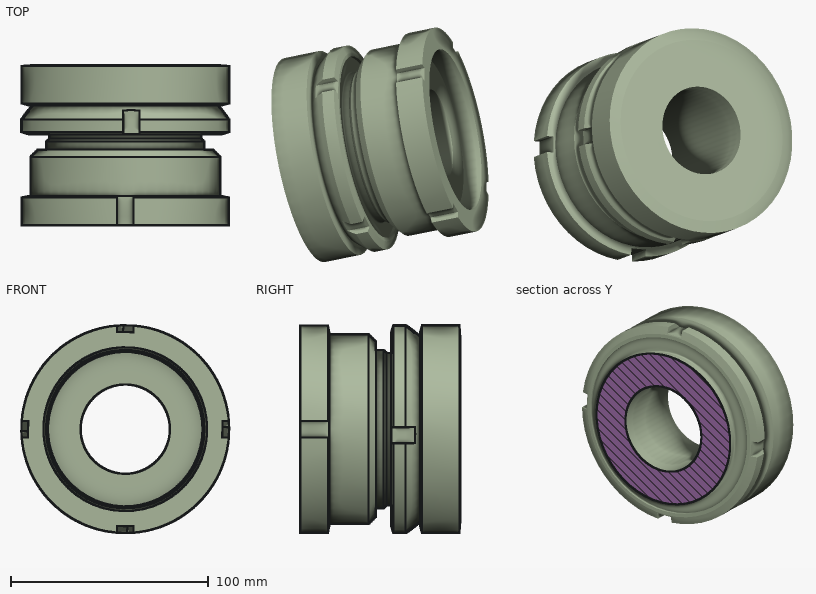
import cadquery as cq
import math


rim_radius = 52.55
bore_radius = 22.5
thread_radius = 40.0
overall_depth = 80.93

slot_count = 4
slot_width = 8.2
slot_floor_radius = 49.0
nut_slot_turn = 3.5
cut_clearance = 1.0

flange_depth = 14.9
flange_bevel = 0.9
barrel_radius = 48.0
barrel_end = 38.2
barrel_chamfer = 3.7
recess_radius = 41.4
recess_depth = flange_depth

sleeve_chamfer = 1.0
sleeve_front = 8.9
thread_end = 43.7
thread_end_chamfer = 1.5
neck_radius = thread_radius - thread_end_chamfer
collar_front = 45.9
collar_bevel_depth = 1.2
collar_bevel_width = 4.0
collar_recess_radius = 46.7
collar_recess_depth = 1.6
neck_fillet = 0.7
collar_rim_end = 53.3
ball_radius = 63.0
ball_center = collar_rim_end - math.sqrt(ball_radius**2 - rim_radius**2)

seat_front = 60.6
seat_bevel_depth = 1.0
seat_bevel_width = 3.7
seat_back_bevel_depth = 0.5
seat_back_bevel_width = 6.0


def ball_depth(radius):
    """Depth of the spherical surface at a given distance from the axis."""
    return ball_center + math.sqrt(ball_radius**2 - radius**2)


def ball_point(radius):
    """Profile point on the spherical surface at a given distance from the axis."""
    return (radius, ball_depth(radius))


def turn(profile):
    """Revolve a closed (radius, depth) profile about the Y axis."""
    return profile.close().revolve(360, (0, 0, 0), (0, 1, 0))


def cut_slots(body, start, end, turn_angle):
    """Cut evenly spaced spanner slots into a rim, between two depths."""
    slot_height = rim_radius - slot_floor_radius + cut_clearance
    cutter = (
        cq.Workplane("XY")
        .box(slot_width, end - start, slot_height, centered=(True, False, False))
        .translate((0, start, slot_floor_radius))
    )
    for index in range(slot_count):
        angle = turn_angle + index * 360 / slot_count
        body = body.cut(cutter.rotate((0, 0, 0), (0, 1, 0), angle))
    return body


def make_base_ring():
    profile = cq.Workplane("XY").polyline([
        (recess_radius, 0),
        (rim_radius, 0),
        (rim_radius, flange_depth - flange_bevel),
        (barrel_radius, flange_depth),
        (barrel_radius, barrel_end - barrel_chamfer),
        (barrel_radius - barrel_chamfer, barrel_end),
        (thread_radius, barrel_end),
        (thread_radius, recess_depth),
        (recess_radius, recess_depth),
    ])
    return cut_slots(turn(profile), 0, flange_depth, 0)


def make_spherical_nut():
    collar_recess_floor = collar_front + collar_recess_depth
    profile = (
        cq.Workplane("XY")
        .moveTo(bore_radius, sleeve_front)
        .lineTo(thread_radius - sleeve_chamfer, sleeve_front)
        .lineTo(thread_radius, sleeve_front + sleeve_chamfer)
        .lineTo(thread_radius, thread_end - thread_end_chamfer)
        .lineTo(neck_radius, thread_end)
        .lineTo(neck_radius, collar_recess_floor - neck_fillet)
        .tangentArcPoint((neck_radius + neck_fillet, collar_recess_floor), relative=False)
        .lineTo(collar_recess_radius, collar_recess_floor)
        .lineTo(collar_recess_radius, collar_front)
        .lineTo(rim_radius - collar_bevel_width, collar_front)
        .lineTo(rim_radius, collar_front + collar_bevel_depth)
        .lineTo(rim_radius, collar_rim_end)
        .threePointArc(ball_point((rim_radius + bore_radius) / 2), ball_point(bore_radius))
    )
    slot_end = ball_depth(slot_floor_radius) + cut_clearance
    return cut_slots(turn(profile), collar_front, slot_end, nut_slot_turn)


def make_seat_ring():
    seat_radius = math.sqrt(ball_radius**2 - (seat_front - ball_center)**2)
    profile = (
        cq.Workplane("XY")
        .moveTo(*ball_point(bore_radius))
        .threePointArc(ball_point((seat_radius + bore_radius) / 2), (seat_radius, seat_front))
        .lineTo(rim_radius - seat_bevel_width, seat_front)
        .lineTo(rim_radius, seat_front + seat_bevel_depth)
        .lineTo(rim_radius, overall_depth - seat_back_bevel_depth)
        .lineTo(rim_radius - seat_back_bevel_width, overall_depth)
        .lineTo(bore_radius, overall_depth)
    )
    return turn(profile)


base_ring = make_base_ring()
spherical_nut = make_spherical_nut()
seat_ring = make_seat_ring()

result = cq.Compound.makeCompound([base_ring.val(), spherical_nut.val(), seat_ring.val()])